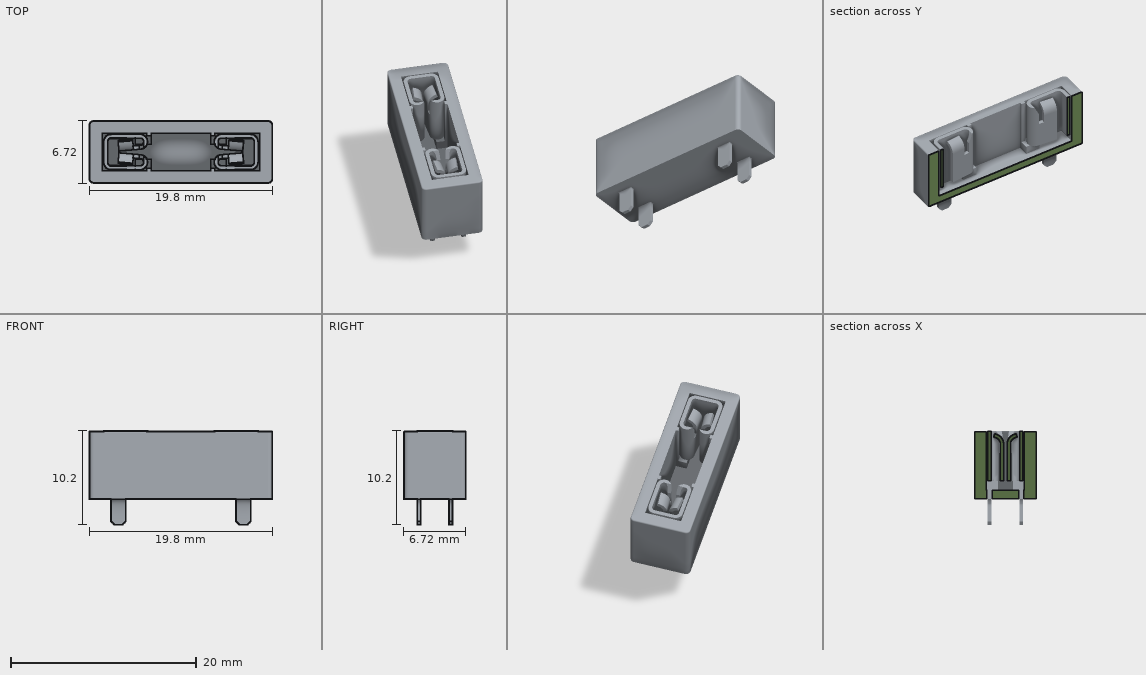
import cadquery as cq
import math

length = 19.81
width = 6.72
height = 7.33
corner_radius = 0.5
rim_radius = 0.14
pocket_length = 17.04
pocket_width = 4.06
floor_thickness = 1.0

rail_inner_x = 3.2
rail_length = 0.48
rail_depth = 0.28
ledge_length = 1.7
ledge_inner_y = 0.81
ledge_top = 1.98

sheet = 0.42
bend_radius = 0.81
bend_inner_radius = bend_radius - sheet
clip_back_x = 8.34
clip_half_width = 1.92
curl_x = 4.42
clip_top = 7.37
clip_bottom = ledge_top

leaf_angle = 5.0
leaf_length = 2.35
leaf_top = clip_top - 2.38
shoulder_x = 4.5
shoulder_z = clip_top - 1.0

tongue_width = 1.58
tongue_bend_radius = 1.1
tongue_bend_angle = 69.0
tongue_lip = 0.3
tongue_bend_z = clip_top - 1.4

leg_width = 1.6
leg_center_x = 6.75
leg_bottom = -2.8
leg_chamfer = 0.4
slot_clearance = 0.05

curl_y = clip_half_width - bend_radius
back_bend_x = clip_back_x - bend_radius
leg_center_y = clip_half_width - sheet / 2
lean = math.radians(leaf_angle)
leaf_along = (math.cos(lean), -math.sin(lean))
leaf_outward = (math.sin(lean), math.cos(lean))


def box_between(x_range, y_range, z_range):
    """Axis-aligned box given by its two limits along each axis."""
    (x0, x1), (y0, y1), (z0, z1) = x_range, y_range, z_range
    return cq.Workplane("XY").box(x1 - x0, y1 - y0, z1 - z0, centered=False).translate((x0, y0, z0))


def mirrored_pair(shape, plane):
    """The shape together with its mirror image in a plane through the origin."""
    return shape.union(shape.mirror(plane))


def make_housing():
    """Open-topped box with rails, clip ledges and slots for the solder legs."""
    body = cq.Workplane("XY").box(length, width, height, centered=(True, True, False))
    body = body.edges("|Z").fillet(corner_radius).faces(">Z").edges().fillet(rim_radius)
    pocket = (
        cq.Workplane("XY")
        .workplane(offset=floor_thickness)
        .rect(pocket_length, pocket_width)
        .extrude(height)
    )
    wall_y = pocket_width / 2
    rail = box_between(
        (rail_inner_x, rail_inner_x + rail_length),
        (wall_y - rail_depth, wall_y),
        (floor_thickness, height),
    )
    ledge = box_between(
        (rail_inner_x, rail_inner_x + ledge_length),
        (ledge_inner_y, wall_y),
        (floor_thickness, ledge_top),
    )
    corner_supports = mirrored_pair(mirrored_pair(rail.union(ledge), "XZ"), "YZ")
    slots = (
        cq.Workplane("XY")
        .rarray(2 * leg_center_x, 2 * leg_center_y, 2, 2)
        .rect(leg_width + 2 * slot_clearance, sheet + 2 * slot_clearance)
        .extrude(floor_thickness)
    )
    return body.cut(pocket).union(corner_supports).cut(slots)


def bend_point(center_x, radius, degrees):
    """Point on a plan bend whose axis lies at (center_x, curl_y)."""
    angle = math.radians(degrees)
    return (center_x + radius * math.cos(angle), curl_y + radius * math.sin(angle))


def leaf_end(start):
    """Free end of a leaf face that leaves the curl at the start point."""
    return (start[0] + leaf_length * leaf_along[0], start[1] + leaf_length * leaf_along[1])


def make_strip_half():
    """The +Y half of the bent strip: half the back, one side, one curl and its leaf."""
    curl_end = 270 - leaf_angle
    outer_curl_end = bend_point(curl_x, bend_radius, curl_end)
    inner_curl_end = bend_point(curl_x, bend_inner_radius, curl_end)
    return (
        cq.Workplane("XY")
        .workplane(offset=clip_bottom)
        .moveTo(clip_back_x, 0)
        .lineTo(clip_back_x, curl_y)
        .threePointArc(bend_point(back_bend_x, bend_radius, 45), bend_point(back_bend_x, bend_radius, 90))
        .lineTo(*bend_point(curl_x, bend_radius, 90))
        .threePointArc(bend_point(curl_x, bend_radius, 180), outer_curl_end)
        .lineTo(*leaf_end(outer_curl_end))
        .lineTo(*leaf_end(inner_curl_end))
        .lineTo(*inner_curl_end)
        .threePointArc(bend_point(curl_x, bend_inner_radius, 180), bend_point(curl_x, bend_inner_radius, 90))
        .lineTo(*bend_point(back_bend_x, bend_inner_radius, 90))
        .threePointArc(
            bend_point(back_bend_x, bend_inner_radius, 45), bend_point(back_bend_x, bend_inner_radius, 0)
        )
        .lineTo(clip_back_x - sheet, 0)
        .close()
        .extrude(clip_top - clip_bottom)
    )


def make_leaf_relief():
    """Material above the leaf, with a sloping shoulder next to the curl."""
    far_x = back_bend_x
    return (
        cq.Workplane("XZ")
        .moveTo(curl_x - bend_inner_radius, clip_top)
        .lineTo(shoulder_x, shoulder_z)
        .lineTo(shoulder_x, leaf_top)
        .lineTo(far_x, leaf_top)
        .lineTo(far_x, clip_top)
        .close()
        .extrude(-curl_y)
    )


def make_tongue():
    """Contact tongue that rises from the leaf and rolls outwards to a straight lip."""
    turn = math.radians(tongue_bend_angle)
    inner_radius = tongue_bend_radius - sheet

    def roll_point(radius, angle):
        return (tongue_bend_radius - radius * math.cos(angle), tongue_bend_z + radius * math.sin(angle))

    def lip_point(start):
        return (start[0] + tongue_lip * math.sin(turn), start[1] + tongue_lip * math.cos(turn))

    upper_start = roll_point(tongue_bend_radius, turn)
    lower_start = roll_point(inner_radius, turn)
    leaf_face_end = leaf_end(bend_point(curl_x, bend_radius, 270 - leaf_angle))
    section_plane = cq.Plane(
        origin=(*leaf_face_end, 0),
        xDir=(*leaf_outward, 0),
        normal=(*leaf_along, 0),
    )
    return (
        cq.Workplane(section_plane)
        .moveTo(0, clip_bottom)
        .lineTo(0, tongue_bend_z)
        .threePointArc(roll_point(tongue_bend_radius, turn / 2), upper_start)
        .lineTo(*lip_point(upper_start))
        .lineTo(*lip_point(lower_start))
        .lineTo(*lower_start)
        .threePointArc(roll_point(inner_radius, turn / 2), (sheet, tongue_bend_z))
        .lineTo(sheet, clip_bottom)
        .close()
        .extrude(-tongue_width)
    )


def make_leg():
    """Solder leg below the +Y side of the strip, with a chamfered tip."""
    return (
        cq.Workplane("XY")
        .box(leg_width, sheet, clip_bottom - leg_bottom, centered=(True, True, False))
        .faces("<Z")
        .edges("|Y")
        .chamfer(leg_chamfer)
        .translate((leg_center_x, leg_center_y, leg_bottom))
    )


def make_clip(turn):
    """Fuse clip for the +X end, turned about Z by the given degrees."""
    half = make_strip_half().cut(make_leaf_relief()).union(make_tongue()).union(make_leg())
    return mirrored_pair(half, "XZ").rotate((0, 0, 0), (0, 0, 1), turn)


housing = make_housing()
clips = [make_clip(turn) for turn in (0, 180)]

result = cq.Compound.makeCompound([housing.val(), *[clip.val() for clip in clips]])